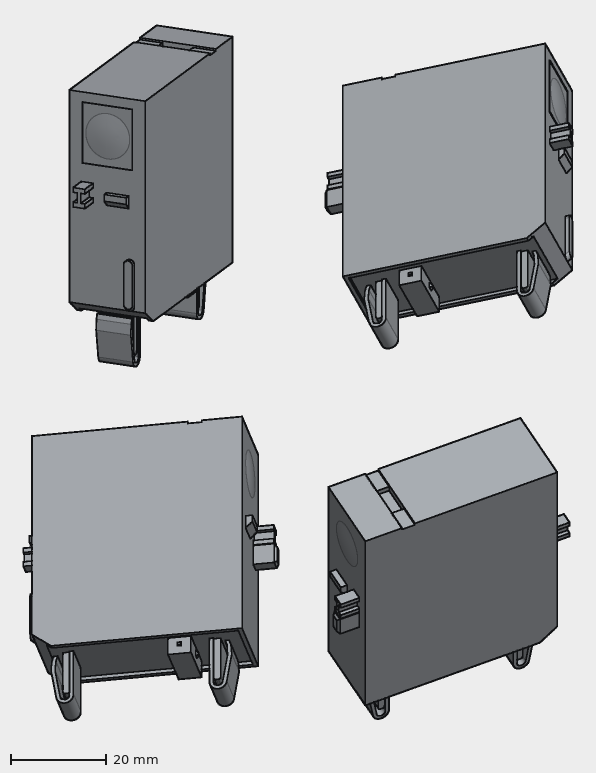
import cadquery as cq
import math


width = 17.5
depth = 44.9
height = 50.2
bevel_depth = 4.05
bevel_height = 3.1
recess_height = 0.85
recess_wall = 1.0

channel_start = 33.3
channel_length = 3.0
channel_drop = 0.4
pocket_width = 7.1
pocket_drop = 1.65

window_width = 11.45
window_height = 13.55
window_drop = 0.1
lens_z = 41.15
lens_radius = 5.05
lens_rise = 0.35
lens_overlap = 0.3

rail_x = -4.6
rail_width = 2.7
rail_height = 4.3
rail_z = 28.1
web_width = 0.85
flange_height = 1.05
rail_front_reach = 4.25
rail_rear_reach = 4.35
block_height = 4.4
block_reach = 5.05
block_chamfer = 0.55
block_gap = 0.2

tab_x = 2.4
tab_width = 5.05
tab_top = 28.6
tab_height = 2.8
tab_nose_height = 1.5
front_tab_reach = 1.3
rear_tab_reach = 1.5

rib_x = 5.15
rib_width = 2.0
rib_top = 14.5
rib_bottom = 3.0
rib_reach = 0.9

clip_width = 8.0
clip_thickness = 0.85
clip_back = 7.95
clip_bend_radius = 1.875
clip_bottom = -11.3
clip_tip = (3.7, 0.0)
clip_shoulder = (3.3, -1.075)
clip_belly = (3.15, -3.45)
blade_width = 7.2
blade_thickness = 1.5
blade_bottom = -8.85
blade_fillet = 0.5

boss_y = 30.95
boss_width = 11.45
boss_length = 4.9
boss_bottom = -3.0
side_bump_size = 0.85
side_bump_z = -0.75
side_bump_reach = 0.25
end_bump_size = 1.2
end_bump_z = -0.5
end_bump_reach = 0.5
bump_taper = 30


def box(x_range, y_range, z_range):
    """Box between pairs of limits."""
    spans = [high - low for low, high in (x_range, y_range, z_range)]
    corner = (x_range[0], y_range[0], z_range[0])
    return cq.Workplane("XY").box(*spans, centered=False).translate(corner)


def centred(middle, size):
    """Pair of limits for a size about its middle."""
    return (middle - size / 2, middle + size / 2)


def extrude_along_x(profile, span):
    """Extrude a YZ profile symmetrically about X = 0."""
    return profile.extrude(span / 2, both=True)


def mirror_to_rear(solid):
    """Mirror a solid about the middle of the housing depth."""
    return solid.mirror("XZ", (0, depth / 2, 0))


def make_housing():
    """Bevelled block with its underside recess, top channel and front window."""
    outline = cq.Workplane("YZ").polyline([
        (bevel_depth, 0),
        (depth, 0),
        (depth, height),
        (0, height),
        (0, bevel_height),
    ]).close()
    housing = extrude_along_x(outline, width)

    recess_front = bevel_depth * (1 - recess_height / bevel_height)
    housing = housing.cut(box(
        centred(0, width - 2 * recess_wall),
        (recess_front, depth - recess_wall),
        (0, recess_height),
    ))

    channel_y = (channel_start, channel_start + channel_length)
    housing = housing.cut(box(centred(0, width), channel_y, (height - channel_drop, height)))
    housing = housing.cut(box(centred(0, pocket_width), channel_y, (height - pocket_drop, height)))

    window = box(
        centred(0, window_width),
        (0, window_drop),
        centred(lens_z, window_height),
    )
    return housing.cut(window)


def make_lens(face_y):
    """Spherical cap facing forward, with a short rim sunk behind its base."""
    half_profile = (
        cq.Workplane("XY")
        .moveTo(0, face_y + lens_overlap)
        .lineTo(0, face_y - lens_rise)
        .radiusArc((lens_radius, face_y), -(lens_radius**2 + lens_rise**2) / (2 * lens_rise))
        .lineTo(lens_radius, face_y + lens_overlap)
        .close()
    )
    return half_profile.revolve(360, (0, 0, 0), (0, 1, 0)).translate((0, 0, lens_z))


def make_rail():
    """I-section rail through the housing, with a chamfered block under its rear end."""
    rail_y = (-rail_front_reach, depth + rail_rear_reach)
    rail = box(centred(rail_x, rail_width), rail_y, centred(rail_z, rail_height))
    side_depth = (rail_width - web_width) / 2
    for side in (-1, 1):
        groove_x = rail_x + side * (web_width + side_depth) / 2
        groove_height = rail_height - 2 * flange_height
        rail = rail.cut(box(centred(groove_x, side_depth), rail_y, centred(rail_z, groove_height)))

    block_top = rail_z - rail_height / 2 - block_gap
    block = box(
        centred(rail_x, rail_width),
        (depth, depth + block_reach),
        (block_top - block_height, block_top),
    )
    return rail.union(block.faces(">Y").chamfer(block_chamfer))


def make_tab(reach):
    """Front tab with a flat top, an upright nose and a bevelled underside."""
    profile = cq.Workplane("YZ").polyline([
        (0, tab_top),
        (-reach, tab_top),
        (-reach, tab_top - tab_nose_height),
        (0, tab_top - tab_height),
    ]).close()
    return extrude_along_x(profile, tab_width).translate((tab_x, 0, 0))


def make_rib():
    """Round-ended rib whose lower end leans back along the slope of the bevel."""
    front_bottom = rib_bottom + rib_reach * bevel_height / bevel_depth
    back_length = rib_top - rib_bottom
    front_length = rib_top - front_bottom
    return (
        cq.Workplane("XZ")
        .center(rib_x, rib_top - back_length / 2)
        .slot2D(back_length, rib_width, 90)
        .workplane(offset=rib_reach)
        .center(0, (back_length - front_length) / 2)
        .slot2D(front_length, rib_width, 90)
        .loft(ruled=True)
    )


def make_clip():
    """Front spring clip: a straight leg, a U bend and a bowed arm around a blade."""
    bend_y = clip_back - clip_bend_radius
    bend_z = clip_bottom + clip_bend_radius

    reach_y = bend_y - clip_belly[0]
    reach_z = clip_belly[1] - bend_z
    tangent_angle = (
        math.pi - math.atan2(reach_z, reach_y)
        + math.acos(clip_bend_radius / math.hypot(reach_y, reach_z))
    )
    arm_foot = (
        bend_y + clip_bend_radius * math.cos(tangent_angle),
        bend_z + clip_bend_radius * math.sin(tangent_angle),
    )
    closed_top = clip_thickness + recess_height
    outline = (
        cq.Workplane("YZ")
        .moveTo(clip_back, closed_top)
        .lineTo(clip_back, bend_z)
        .threePointArc((bend_y, clip_bottom), arm_foot)
        .lineTo(*clip_belly)
        .lineTo(*clip_shoulder)
        .lineTo(*clip_tip)
        .lineTo(clip_tip[0], closed_top)
        .close()
    )
    loop = extrude_along_x(outline, clip_width).faces("<X or >X").shell(-clip_thickness)
    leg_front = clip_back - clip_thickness
    above_leg = box(centred(0, clip_width), (0, clip_back), (recess_height, closed_top))
    above_arm = box(centred(0, clip_width), (0, leg_front), (clip_tip[1], closed_top))
    spring = loop.cut(above_leg).cut(above_arm)

    blade = box(
        centred(0, blade_width),
        (leg_front - blade_thickness, leg_front),
        (blade_bottom, recess_height),
    ).faces("<Z").edges("|X").fillet(blade_fillet)
    return spring.union(blade)


def make_bump(face_distance, size, z, reach):
    """Tapered square bump standing on a +X face at the given distance from the Z axis."""
    return (
        cq.Workplane("YZ", origin=(face_distance, 0, z))
        .rect(size, size)
        .extrude(reach, taper=bump_taper)
    )


def make_boss():
    """Locating boss with a small bump on each of its four sides."""
    boss = box(
        centred(0, boss_width),
        centred(boss_y, boss_length),
        (boss_bottom, recess_height),
    )
    side_bump = make_bump(boss_width / 2, side_bump_size, side_bump_z, side_bump_reach)
    end_bump = make_bump(boss_length / 2, end_bump_size, end_bump_z, end_bump_reach)
    for bump, angle in ((side_bump, 0), (end_bump, 90), (side_bump, 180), (end_bump, 270)):
        turned = bump.rotate((0, 0, 0), (0, 0, 1), angle)
        boss = boss.union(turned.translate((0, boss_y, 0)))
    return boss


clip = make_clip()
result = (
    make_housing()
    .union(make_lens(window_drop))
    .union(mirror_to_rear(make_lens(0)))
    .union(make_rail())
    .union(make_tab(front_tab_reach))
    .union(mirror_to_rear(make_tab(rear_tab_reach)))
    .union(make_rib())
    .union(clip)
    .union(mirror_to_rear(clip))
    .union(make_boss())
)